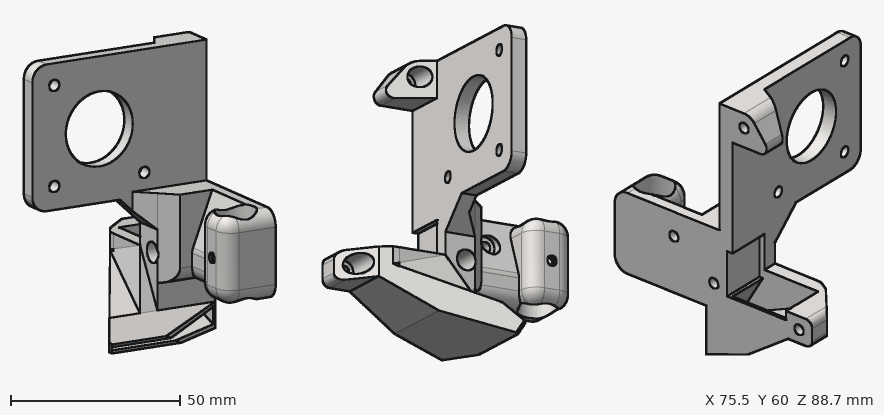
import cadquery as cq
import math


PLATE_THICK = 5.0
PLATE_TOP = 70.6
PLATE_DEPTH = 60.0
PLATE_UNDERSIDE = 25.6
PLATE_CORNER_R = 5.0
SLOPE_START_Y = -29.8
MOTOR_Y = -36.9
MOTOR_Z = 48.3
MOTOR_BORE_DIA = 23.0
MOTOR_HOLE_PITCH = 31.0
SCREW_DIA = 3.5

BLOCK_FRONT_Y = -20.0
BLOCK_STEP_X = 10.0
BLOCK_STEP_Z = 16.3
BLOCK_RIGHT = 14.9
BLOCK_RIGHT_Y = -15.1
BLOCK_GUSSET_Y = -25.5
EDGE_R = 5.0

ARM_TOP = 27.5
ARM_TOP_DEPTH = 4.0
ARM_FRONT_Y = -10.9
ARM_BEND_Z = 9.85
ARM_BEND_R = 4.2
HOLDER_LEFT = 30.0
HOLDER_RIGHT = 45.0
HOLDER_DEPTH = 17.6
SENSOR_DIA = 12.5
SENSOR_X = (HOLDER_LEFT + HOLDER_RIGHT) / 2
SENSOR_Y = -9.3
SET_SCREW_DIA = 2.6
SET_SCREW_MOUTH_DIA = 3.1
SET_SCREW_MOUTH_DEPTH = 0.9

CLIP_X = -4.4
CLIP_Z = 65.6
CLIP_TOP_R = PLATE_TOP - CLIP_Z
CLIP_NOSE_X = -10.6
CLIP_NOSE_R = 2.5
CLIP_BOTTOM = 59.1
CLIP_DEPTH = 15.0
CLIP_FACE_ANGLE = 30

COUNTERBORE_DIA = 6.4
HEAD_SEAT_Y = -4.0
TAB_HOLE = (-25.5, 4.6)
MOUNT_HOLES = [TAB_HOLE, (CLIP_X, CLIP_Z), (7.1, 8.7), (22.35, 19.2)]

TAB_LEFT = -30.5
TAB_CORNER_R = 2.5
DUCT_TOP = 9.2
DUCT_LEFT = -21.3
DUCT_KINK = (-6.0, -10.8)
TIP_LOW = (14.4, -18.1)
TIP_HIGH = (16.2, -14.7)
SHOULDER = (BLOCK_STEP_X, -8.4)
RIDGE_START = (-17.65, 3.8)
TIP_CHAMFER = 1.0

TAB_SIDE_Y = -6.9
FRONT_START_Y = -17.65
FRONT_SLOPE = 0.602
TIP_BACK_Y = -20.6
RIDGE_END_Y = -26.0
FRONT_FACET_END_X = -15.5
FAR_X = 26.6

POCKET_LEFT = -20.5
POCKET_RIGHT = 1.95
POCKET_DEPTH = 15.0
POCKET_TOP = 21.4
POCKET_FLOOR = 6.1
DUCT_WALL = 1.0
THROAT_RIGHT = 0.6
INNER_SHOULDER = (9.1, -8.6)
INNER_END_X = 16.7
INNER_END_HIGH_Z = -16.85
INNER_END_LOW_Z = -17.5
INNER_KINK = (-5.3, -9.6)
INNER_FLOOR_LEFT_Z = 1.3
INNER_ROOF_LEFT_Z = 4.3


def front_prism(points, depth, start_y=0.0):
    """Extrude an XZ outline from start_y towards -Y."""
    return cq.Workplane("XZ", origin=(0, start_y, 0)).polyline(points).close().extrude(depth)


def plan_prism(points, low_z, high_z):
    """Extrude an XY outline between two heights."""
    return cq.Workplane("XY", origin=(0, 0, low_z)).polyline(points).close().extrude(high_z - low_z)


def side_prism(points, left_x, right_x):
    """Extrude a YZ outline between two X positions."""
    return cq.Workplane("YZ", origin=(left_x, 0, 0)).polyline(points).close().extrude(right_x - left_x)


def front_hole(x, z, diameter, depth, start_y=0.0):
    """Cylinder along Y, from start_y towards -Y."""
    return cq.Workplane("XZ", origin=(x, start_y, z)).circle(diameter / 2).extrude(depth)


def tetrahedron(a, b, c, d):
    corners = [cq.Vector(*p) for p in (a, b, c, d)]
    faces = []
    for skipped in range(len(corners)):
        triangle = corners[:skipped] + corners[skipped + 1:]
        faces.append(cq.Face.makeFromWires(cq.Wire.makePolygon(triangle, close=True)))
    return cq.Workplane(obj=cq.Solid.makeSolid(cq.Shell.makeShell(faces)))


SIDE_OUTLINE = [
    (0, 0),
    (0, PLATE_TOP),
    (-PLATE_DEPTH, PLATE_TOP),
    (-PLATE_DEPTH, PLATE_UNDERSIDE),
    (SLOPE_START_Y, PLATE_UNDERSIDE),
    (BLOCK_FRONT_Y, BLOCK_STEP_Z),
    (BLOCK_FRONT_Y, 0),
]


def make_plate():
    plate = side_prism(SIDE_OUTLINE, 0, PLATE_THICK)
    return plate.edges("|X and <Y").fillet(PLATE_CORNER_R)


def make_block():
    plan = [
        (0, 0),
        (0, BLOCK_GUSSET_Y),
        (PLATE_THICK, BLOCK_GUSSET_Y),
        (BLOCK_STEP_X, BLOCK_FRONT_Y),
        (BLOCK_RIGHT, BLOCK_RIGHT_Y),
        (BLOCK_RIGHT, 0),
    ]
    block = plan_prism(plan, 0, ARM_TOP).faces(">X").edges("<Z").fillet(EDGE_R)
    return block.intersect(side_prism(SIDE_OUTLINE, 0, BLOCK_RIGHT))


def make_arm():
    outline = [
        (0, 0),
        (0, ARM_TOP),
        (-ARM_TOP_DEPTH, ARM_TOP),
        (ARM_FRONT_Y, ARM_BEND_Z),
        (ARM_FRONT_Y, 0),
    ]
    arm = side_prism(outline, BLOCK_STEP_X, HOLDER_LEFT + EDGE_R)
    bend = cq.selectors.NearestToPointSelector((SENSOR_X - SENSOR_DIA, ARM_FRONT_Y, ARM_BEND_Z))
    arm = arm.edges("|X").edges(bend).fillet(ARM_BEND_R)
    return arm.edges("|X and <Z and <Y").fillet(EDGE_R)


def make_holder():
    holder = cq.Workplane("XY").box(
        HOLDER_RIGHT - HOLDER_LEFT, HOLDER_DEPTH, ARM_TOP, centered=False
    )
    holder = holder.translate((HOLDER_LEFT, -HOLDER_DEPTH, 0))
    return holder.edges("|Y").fillet(EDGE_R).faces("<Y").edges().fillet(EDGE_R)


def make_clip():
    nose_z = CLIP_BOTTOM + CLIP_NOSE_R
    run = CLIP_X - CLIP_NOSE_X
    rise = CLIP_Z - nose_z
    lean = math.atan2(rise, run) + math.asin((CLIP_TOP_R - CLIP_NOSE_R) / math.hypot(run, rise))

    def nose_point(angle):
        return (CLIP_NOSE_X + CLIP_NOSE_R * math.cos(angle), nose_z + CLIP_NOSE_R * math.sin(angle))

    def top_point(angle):
        return (CLIP_X + CLIP_TOP_R * math.cos(angle), CLIP_Z + CLIP_TOP_R * math.sin(angle))

    normal = lean + math.pi / 2
    clip = (
        cq.Workplane("XZ")
        .moveTo(PLATE_THICK, PLATE_TOP)
        .lineTo(CLIP_X, PLATE_TOP)
        .threePointArc(top_point((normal + math.pi / 2) / 2), top_point(normal))
        .lineTo(*nose_point(normal))
        .threePointArc(nose_point((normal + 1.5 * math.pi) / 2), (CLIP_NOSE_X, CLIP_BOTTOM))
        .lineTo(PLATE_THICK, CLIP_BOTTOM)
        .close()
        .extrude(CLIP_DEPTH)
    )
    reach = CLIP_DEPTH / math.tan(math.radians(CLIP_FACE_ANGLE))
    plan = [(-reach, 0), (0, -CLIP_DEPTH), (PLATE_THICK, -CLIP_DEPTH), (PLATE_THICK, 0)]
    return clip.intersect(plan_prism(plan, CLIP_BOTTOM, PLATE_TOP))


def front_y(x):
    """Y of the slanted vertical front face of the duct."""
    return FRONT_START_Y - FRONT_SLOPE * (x - DUCT_LEFT)


def make_duct_body():
    underside = [TIP_HIGH, TIP_LOW, DUCT_KINK, (DUCT_LEFT, 0)]
    root_outline = [(TAB_LEFT, 0), (TAB_LEFT, DUCT_TOP), (BLOCK_STEP_X, DUCT_TOP), SHOULDER] + underside
    root = front_prism(root_outline, -BLOCK_FRONT_Y)
    root = root.edges("|Y and <X").fillet(TAB_CORNER_R)
    facet_start_x, ridge_z = RIDGE_START
    facet = [
        (facet_start_x, front_y(facet_start_x)),
        (FRONT_FACET_END_X, BLOCK_FRONT_Y),
        (facet_start_x, BLOCK_FRONT_Y),
    ]
    root = root.cut(plan_prism(facet, ridge_z, DUCT_TOP))

    nozzle_outline = [(DUCT_LEFT, ridge_z), RIDGE_START, SHOULDER] + underside
    nozzle = front_prism(nozzle_outline, PLATE_DEPTH)

    ridge_end = (SHOULDER[0], RIDGE_END_Y, SHOULDER[1])
    web = tetrahedron(
        (facet_start_x, BLOCK_FRONT_Y, ridge_z),
        (0, BLOCK_FRONT_Y, DUCT_TOP),
        (SHOULDER[0], BLOCK_FRONT_Y, SHOULDER[1]),
        ridge_end,
    )

    side_slope = (TIP_HIGH[0] - BLOCK_STEP_X) / TIP_BACK_Y
    far_y = (FAR_X - BLOCK_STEP_X) / side_slope
    plan = [
        (TAB_LEFT, 0),
        (TAB_LEFT, TAB_SIDE_Y),
        (DUCT_LEFT, FRONT_START_Y),
        (FAR_X, front_y(FAR_X)),
        (FAR_X, far_y),
        (BLOCK_STEP_X, 0),
    ]
    duct = root.union(nozzle).union(web).intersect(plan_prism(plan, TIP_LOW[1], DUCT_TOP))
    tip_x = (TIP_HIGH[0] + TIP_LOW[0]) / 2
    tip_z = (TIP_HIGH[1] + TIP_LOW[1]) / 2
    tip_edge = cq.selectors.NearestToPointSelector((tip_x, front_y(tip_x), tip_z))
    return duct.edges(tip_edge).chamfer(TIP_CHAMFER)


def make_duct_cavity():
    lower_outline = [
        INNER_SHOULDER,
        (INNER_END_X, INNER_END_HIGH_Z),
        (INNER_END_X, INNER_END_LOW_Z),
        INNER_KINK,
        (POCKET_LEFT, INNER_FLOOR_LEFT_Z),
    ]
    throat_outline = [(POCKET_LEFT, POCKET_FLOOR), (THROAT_RIGHT, POCKET_FLOOR)] + lower_outline
    throat = front_prism(throat_outline, POCKET_DEPTH - DUCT_WALL, -DUCT_WALL)

    passage = front_prism([(POCKET_LEFT, INNER_ROOF_LEFT_Z)] + lower_outline, PLATE_DEPTH, -DUCT_WALL)
    wall_shift = DUCT_WALL * math.hypot(1, FRONT_SLOPE)
    plan = [
        (POCKET_LEFT, 0),
        (POCKET_LEFT, front_y(POCKET_LEFT) + wall_shift),
        (FAR_X, front_y(FAR_X) + wall_shift),
        (FAR_X, 0),
    ]
    passage = passage.intersect(plan_prism(plan, TIP_LOW[1], DUCT_TOP))

    pocket_outline = [
        (POCKET_LEFT, POCKET_FLOOR),
        (POCKET_RIGHT, POCKET_FLOOR),
        (POCKET_RIGHT, POCKET_TOP),
        (POCKET_LEFT, POCKET_TOP),
    ]
    return throat.union(passage).union(front_prism(pocket_outline, POCKET_DEPTH))


def cut_motor_holes(body):
    def plate_hole(y, z, diameter):
        return cq.Workplane("YZ", origin=(0, y, z)).circle(diameter / 2).extrude(PLATE_THICK)

    half = MOTOR_HOLE_PITCH / 2
    body = body.cut(plate_hole(MOTOR_Y, MOTOR_Z, MOTOR_BORE_DIA))
    for side_y, side_z in [(-half, half), (-half, -half), (half, -half)]:
        body = body.cut(plate_hole(MOTOR_Y + side_y, MOTOR_Z + side_z, SCREW_DIA))
    return body


def cut_mount_holes(body):
    for x, z in MOUNT_HOLES:
        body = body.cut(front_hole(x, z, SCREW_DIA, PLATE_DEPTH))
        body = body.cut(front_hole(x, z, COUNTERBORE_DIA, -BLOCK_GUSSET_Y, HEAD_SEAT_Y))
    return body


def cut_sensor_holes(body):
    bore = cq.Workplane("XY", origin=(SENSOR_X, SENSOR_Y, 0)).circle(SENSOR_DIA / 2).extrude(ARM_TOP)
    middle_z = ARM_TOP / 2
    screw = front_hole(SENSOR_X, middle_z, SET_SCREW_DIA, HOLDER_DEPTH, SENSOR_Y)
    mouth_y = -HOLDER_DEPTH + SET_SCREW_MOUTH_DEPTH
    mouth = front_hole(SENSOR_X, middle_z, SET_SCREW_MOUTH_DIA, SET_SCREW_MOUTH_DEPTH, mouth_y)
    return body.cut(bore).cut(screw).cut(mouth)


body = make_plate().union(make_block()).union(make_arm()).union(make_holder())
body = body.union(make_clip()).union(make_duct_body())
body = body.cut(make_duct_cavity())
body = cut_motor_holes(body)
body = cut_mount_holes(body)
result = cut_sensor_holes(body)